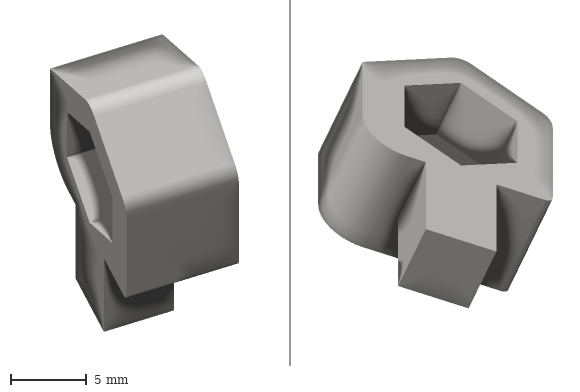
import cadquery as cq
import math

height = 20.27
depth = 8.0
width = 13.5

left_reach = 7.0
right_reach = width - left_reach
bottom_reach = 5.5
roof_slope = math.radians(30)

apex_radius = 1.5
shoulder_radius = 1.5
large_bottom_radius = 3.16
small_bottom_radius = 0.5

stem_side = 5.0
stem_length = 7.5

socket_sides = 6
socket_across_flats = 8.0
socket_depth = 4.55

ridge_z = height - stem_length - bottom_reach
apex_z = ridge_z + apex_radius * (1 / math.cos(roof_slope) - 1)
left_eave_z = apex_z - left_reach * math.tan(roof_slope)
right_eave_z = apex_z - right_reach * math.tan(roof_slope)


def round_edge(body, x, z, radius):
    """Round the front-to-back edge nearest to the given outline corner."""
    edge = cq.selectors.NearestToPointSelector((x, depth / 2, z))
    return body.edges("|Y").edges(edge).fillet(radius)


def make_head():
    head = (
        cq.Workplane("XZ")
        .polyline([
            (-left_reach, -bottom_reach),
            (right_reach, -bottom_reach),
            (right_reach, right_eave_z),
            (0, apex_z),
            (-left_reach, left_eave_z),
        ])
        .close()
        .extrude(-depth)
    )
    head = round_edge(head, 0, apex_z, apex_radius)
    head = round_edge(head, right_reach, right_eave_z, shoulder_radius)
    head = round_edge(head, -left_reach, -bottom_reach, large_bottom_radius)
    return round_edge(head, right_reach, -bottom_reach, small_bottom_radius)


def make_stem():
    return (
        cq.Workplane("XY", origin=(0, 0, -bottom_reach))
        .box(stem_side, stem_side, stem_length, centered=(True, False, False))
        .translate((0, 0, -stem_length))
    )


def make_socket():
    across_corners = socket_across_flats / math.cos(math.pi / socket_sides)
    return (
        cq.Workplane("XZ")
        .transformed(rotate=(0, 0, 90))
        .polygon(socket_sides, across_corners)
        .extrude(-socket_depth)
    )


result = make_head().union(make_stem()).cut(make_socket())